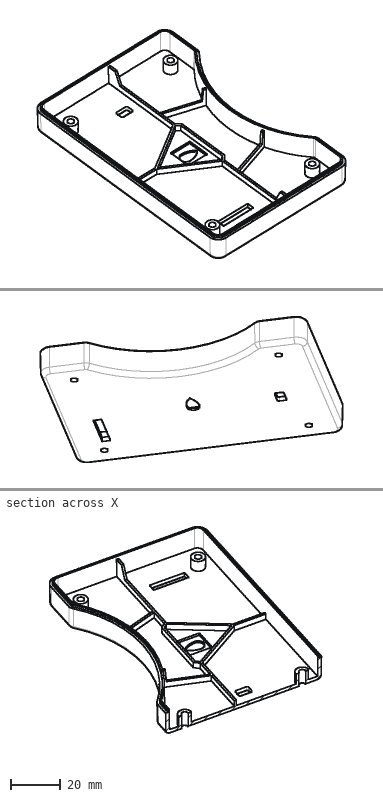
import cadquery as cq
import math

length = 111.2
width = 73.1
height = 12.3

lip_height = 1.0
lip_inset = 1.1
ledge_z = height - lip_height
rim_wall = 1.9
floor_top = 2.0
draft = 1.0
corner_radius = 4.7
bottom_round = 2.0

bay_radius = 52.0
bay_depth = 13.8
bay_corner_radius = 3.3

rib_thickness = 1.0
rib_height = 2.8
rib_top = floor_top + rib_height
rib_base = floor_top / 2
cross_rib_y = 3.9
frame_half_width = 14.6
frame_top_half_width = 12.7
frame_top_y = 6.0
frame_tip_y = -19.6
side_rib_foot = (23.6, cross_rib_y)
side_rib_head = (17.3, 23.5)

gusset_top = 10.8
wall_overlap = 0.7
cross_gusset = (4.1, 2.8)
side_gusset = (1.0, 0.6)

boss_x = 42.6
boss_y = 27.5
boss_diameter = 6.0
boss_hole = 2.9
boss_height = 5.1

recess_width = 10.5
recess_y = -1.5
recess_depth = 1.1
drop_radius = 2.7
drop_y = -3.1
drop_tip_y = 3.2

small_slot_size = (3.9, 6.1)
small_slot_center = (-36.2, -3.7)
small_slot_radius = 0.7
long_slot_size = (3.5, 16.3)
long_slot_center = (40.2, -12.6)


def plan_wire():
    """Outline of the tray at ledge level, lying on Z = 0."""
    thickness = 1.1
    bay_center_y = width / 2 - bay_depth + bay_radius
    bay_half_width = math.sqrt(bay_radius**2 - (bay_radius - bay_depth) ** 2)
    plate = cq.Workplane("XY").rect(length, width).extrude(thickness).edges("|Z").fillet(corner_radius)
    bay = cq.Workplane("XY").center(0, bay_center_y).circle(bay_radius).extrude(thickness)
    plate = plate.cut(bay)
    for side in (-1, 1):
        bay_corner = (side * bay_half_width, width / 2, thickness / 2)
        plate = plate.edges(cq.selectors.NearestToPointSelector(bay_corner)).fillet(bay_corner_radius)
    return plate.faces("<Z").wires().val()


def prism(inset, bottom, top, taper=0):
    """Prism on the plan outline moved inward, narrowing downward by the taper angle from its top."""
    wire = plan_wire()
    if inset:
        wire = wire.offset2D(-inset)[0]
    depth = top - bottom
    wire = wire.moved(cq.Location(cq.Vector(0, 0, top)))
    return cq.Workplane("XY", origin=(0, 0, top)).add(wire).toPending().extrude(-depth, taper=taper)


def shell():
    body = prism(0, 0, ledge_z, draft)
    body = body.faces("<Z").edges().fillet(bottom_round)
    lip = prism(lip_inset, ledge_z - lip_height, height)
    body = body.union(lip)
    cavity = prism(rim_wall, floor_top, height, draft)
    return body.cut(cavity)


def ribs_along(points):
    """Rib of constant thickness following a chain of points, with mitred corners."""
    path = cq.Workplane("XY").polyline(points)
    dx = points[1][0] - points[0][0]
    dy = points[1][1] - points[0][1]
    start = cq.Plane(origin=(*points[0], 0), xDir=(-dy, dx, 0), normal=(dx, dy, 0))
    section_height = rib_top - rib_base
    profile = cq.Workplane(start).center(0, rib_base + section_height / 2).rect(rib_thickness, section_height)
    return profile.sweep(path, transition="right")


def wall_rib(wall_point, far_point, gusset):
    """Straight rib starting inside the wall, where its top steps up to the gusset height."""
    flat, slope = gusset
    dx = far_point[0] - wall_point[0]
    dy = far_point[1] - wall_point[1]
    run = math.hypot(dx, dy)
    side = cq.Plane(origin=(*wall_point, 0), xDir=(dx, dy, 0), normal=(dy, -dx, 0))
    start = -wall_overlap
    outline = [
        (start, rib_base),
        (run, rib_base),
        (run, rib_top),
        (flat + slope, rib_top),
        (flat, gusset_top),
        (start, gusset_top),
    ]
    return cq.Workplane(side).polyline(outline).close().extrude(rib_thickness / 2, both=True)


def ribs():
    """Cross rib, pointed frame around the keyhole, centre rib and two ribs from the bay wall."""
    node = (frame_half_width, cross_rib_y)
    tip = (0, frame_tip_y)
    right_frame = [tip, node, (frame_top_half_width, frame_top_y), (0, frame_top_y)]
    right = ribs_along(right_frame)
    right = right.union(wall_rib((length / 2 - rim_wall, cross_rib_y), node, cross_gusset))
    right = right.union(wall_rib(side_rib_head, side_rib_foot, side_gusset))
    centre = ribs_along([tip, (0, -width / 2 + rim_wall)])
    return right.union(right.mirror("YZ")).union(centre)


def boss_points():
    return cq.Workplane("XY").rect(2 * boss_x, 2 * boss_y, forConstruction=True).vertices()


def bosses():
    return boss_points().circle(boss_diameter / 2).extrude(floor_top + boss_height)


def keyhole():
    """Teardrop opening: a half circle whose sides curve up to a point."""
    rise = drop_tip_y - drop_y
    side_radius = (rise**2 + drop_radius**2) / (2 * drop_radius)
    half_angle = math.asin(rise / side_radius) / 2
    side_x = drop_radius - side_radius * (1 - math.cos(half_angle))
    side_y = drop_y + side_radius * math.sin(half_angle)
    drop = (
        cq.Workplane("XY")
        .moveTo(-drop_radius, drop_y)
        .threePointArc((0, drop_y - drop_radius), (drop_radius, drop_y))
        .threePointArc((side_x, side_y), (0, drop_tip_y))
        .threePointArc((-side_x, side_y), (-drop_radius, drop_y))
        .close()
        .extrude(floor_top)
    )
    recess = (
        cq.Workplane("XY", origin=(0, recess_y, floor_top))
        .rect(recess_width, recess_width)
        .extrude(-recess_depth)
    )
    return drop.union(recess)


def slots():
    small = cq.Workplane("XY").center(*small_slot_center).rect(*small_slot_size).extrude(floor_top)
    small = small.edges("|Z").fillet(small_slot_radius)
    long = cq.Workplane("XY").center(*long_slot_center).rect(*long_slot_size).extrude(floor_top)
    return small.union(long)


def boss_holes():
    return boss_points().circle(boss_hole / 2).extrude(height)


tray = shell().union(ribs()).union(bosses())
tray = tray.cut(boss_holes()).cut(keyhole()).cut(slots())
result = tray.solids()